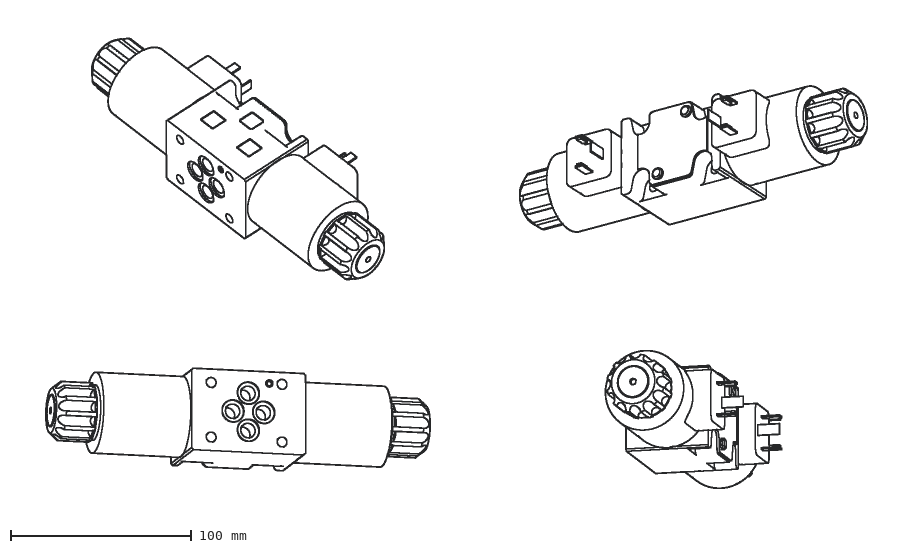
import cadquery as cq
import math


half_length = 107.0
housing_half = 32.5
coil_end = 82.3

front_y = -24.0
back_y = 23.1
housing_height = 46.0
end_edge_chamfer = 1.0

bolt_centre_x = -1.0
bolt_pitch_x = 40.5
bolt_left_z = 15.5
bolt_right_z = 16.3
bolt_hole_dia = 5.5
recess_dia = 11.5
recess_wall_tilt = 12.0
recess_depth = 12.5
recess_rim_radius = 2.5

port_dia = 8.1
seal_dia = 12.5
seal_depth = 1.3
port_depth = 12.9
port_offset_x = 8.8
port_offset_z = 10.5
locating_hole_x = 12.0
locating_hole_z = 16.5
locating_mouth_dia = 3.9
locating_mouth_depth = 0.9
locating_cone_dia = 2.5
locating_cone_depth = 1.0

mark_size = 9.9
mark_depth = 0.6
mark_corner = 1.0
mark_places = [(-15.0, -5.0), (0, 10.3), (14.8, -5.0)]

plate_left = -24.5
plate_right = 21.0
plate_height = 44.5
plate_thickness = 1.3
rivet_places = [(-11.1, 16.7), (7.5, -16.7)]
rivet_head_dia = 6.5
rivet_head_height = 2.0
rivet_edge_chamfer = 0.9

coil_dia = 45.0
connector_size = 29.3
connector_corner = 3.6
connector_y = 32.8
connector_x = 47.8
blade_thickness = 0.9
earth_x = 38.8
earth_width = 6.0
earth_tip_y = front_y + 69.0
phase_width = 4.7
phase_outer_z = 9.5
phase_tip_y = 43.3
phase_rib_y = 37.0
phase_rib_thickness = 2.1
phase_rib_width = 3.0
phase_rib_tip_y = 42.8

knob_radius = 16.5
knob_rear = 84.5
button_height = 0.5
button_dia = 18.0
button_edge_chamfer = 0.5
knob_face = half_length - button_height
knob_chamfer_length = 4.7
knob_chamfer_height = 4.0
collar_radius = 15.5
rim_radius = 16.0
rim_front = 85.5
cone_tip = 87.5
cone_tip_radius = 12.9
flute_count = 12
flute_dia = 6.0
flute_centre_radius = 16.3
pin_hole_dia = 3.5
pin_hole_depth = 2.1


def box(x_range, y_range, z_range):
    """Axis-aligned box between the given limits."""
    lengths = [high - low for low, high in (x_range, y_range, z_range)]
    corner = (x_range[0], y_range[0], z_range[0])
    return cq.Workplane("XY").box(*lengths, centered=False).translate(corner)


def cylinder_y(x, z, diameter, start, end):
    """Cylinder along Y from start to end."""
    solid = cq.Solid.makeCylinder(diameter / 2, end - start, cq.Vector(x, start, z), cq.Vector(0, 1, 0))
    return cq.Workplane(obj=solid)


def cylinder_x(radius, start, end):
    """Cylinder on the X axis from start to end."""
    solid = cq.Solid.makeCylinder(radius, end - start, cq.Vector(start, 0, 0), cq.Vector(1, 0, 0))
    return cq.Workplane(obj=solid)


def bolt_places():
    """(x, z) of the four mounting bolts."""
    left = bolt_centre_x - bolt_pitch_x / 2
    right = bolt_centre_x + bolt_pitch_x / 2
    return [(x, side * z) for x, z in ((left, bolt_left_z), (right, bolt_right_z)) for side in (1, -1)]


def recess_half(centre_z, face_z, tilt_degrees):
    """The +X half of a bolt recess: a round bottom, a side wall leaning outward and a rounded rim."""
    radius = recess_dia / 2
    tilt = math.radians(tilt_degrees)
    wall_foot = (radius * math.cos(tilt), centre_z - radius * math.sin(tilt))
    wall_top_x = wall_foot[0] + (face_z - wall_foot[1]) * math.tan(tilt)
    arc_half = (math.pi / 2 - tilt) / 2
    bottom_mid = (radius * math.sin(arc_half), centre_z - radius * math.cos(arc_half))

    rim_reach = recess_rim_radius * math.tan(arc_half)
    rim_start = (wall_top_x - rim_reach * math.sin(tilt), face_z - rim_reach * math.cos(tilt))
    rim_end = (wall_top_x + rim_reach, face_z)

    return (
        cq.Workplane("XZ", origin=(0, back_y + plate_thickness, 0))
        .moveTo(0, centre_z - radius)
        .threePointArc(bottom_mid, wall_foot)
        .lineTo(*rim_start)
        .tangentArcPoint(rim_end, relative=False)
        .lineTo(rim_end[0], housing_height)
        .lineTo(0, housing_height)
        .close()
        .extrude(recess_depth + plate_thickness)
    )


def bolt_recess(x, z, face_z):
    """Bolt head recess, open at the back and at the top or bottom face; only its +X wall leans."""
    leaning_half = recess_half(abs(z), face_z, recess_wall_tilt)
    upright_half = recess_half(abs(z), face_z, 0).mirror("YZ")
    recess = leaning_half.union(upright_half).translate((x, 0, 0))
    return recess if z > 0 else recess.mirror("XY")


def cut_bolt_recesses(body, height):
    """Open the four bolt recesses in a body of the given height."""
    for x, z in bolt_places():
        body = body.cut(bolt_recess(x, z, height / 2))
    return body


def make_housing():
    half_height = housing_height / 2
    housing = box((-housing_half, housing_half), (front_y, back_y), (-half_height, half_height))
    housing = housing.edges("|Y").chamfer(end_edge_chamfer)
    housing = cut_bolt_recesses(housing, housing_height)
    for x, z in bolt_places():
        housing = housing.cut(cylinder_y(x, z, bolt_hole_dia, front_y, back_y))

    ports = [(-port_offset_x, 0), (port_offset_x, 0), (0, -port_offset_z), (0, port_offset_z)]
    for x, z in ports:
        housing = housing.cut(cylinder_y(x, z, port_dia, front_y, front_y + port_depth))
        housing = housing.cut(cylinder_y(x, z, seal_dia, front_y, front_y + seal_depth))

    cone_start = front_y + locating_mouth_depth
    mouth = cylinder_y(locating_hole_x, locating_hole_z, locating_mouth_dia, front_y, cone_start)
    cone = cq.Solid.makeCone(
        locating_cone_dia / 2,
        0,
        locating_cone_depth,
        cq.Vector(locating_hole_x, cone_start, locating_hole_z),
        cq.Vector(0, 1, 0),
    )
    housing = housing.cut(mouth).cut(cq.Workplane(obj=cone))

    half_mark = mark_size / 2
    for x, y in mark_places:
        mark = box(
            (x - half_mark, x + half_mark),
            (y - half_mark, y + half_mark),
            (half_height - mark_depth, half_height),
        )
        if y > 0:
            mark = mark.edges("|Z").fillet(mark_corner)
        housing = housing.cut(mark)
    return housing


def make_nameplate():
    half_height = plate_height / 2
    plate = box((plate_left, plate_right), (back_y, back_y + plate_thickness), (-half_height, half_height))
    return cut_bolt_recesses(plate, plate_height)


def make_rivet(x, z):
    """Bevelled rivet head standing on the nameplate."""
    head_start = back_y + plate_thickness
    head = cylinder_y(x, z, rivet_head_dia, head_start, head_start + rivet_head_height)
    return head.faces(">Y").chamfer(rivet_edge_chamfer)


def make_coil():
    """Coil of the +X side with its connector and three contact blades."""
    half_size = connector_size / 2
    connector = box(
        (connector_x - half_size, connector_x + half_size),
        (0, connector_y),
        (-half_size, half_size),
    )
    connector = connector.edges("|Y").fillet(connector_corner)
    coil = cylinder_x(coil_dia / 2, housing_half, coil_end).union(connector)

    earth_blade = box(
        (earth_x - blade_thickness / 2, earth_x + blade_thickness / 2),
        (connector_y, earth_tip_y),
        (-earth_width / 2, earth_width / 2),
    )
    coil = coil.union(earth_blade)

    stem = box(
        (connector_x - phase_width / 2, connector_x + phase_width / 2),
        (connector_y, phase_tip_y),
        (phase_outer_z - blade_thickness, phase_outer_z),
    )
    rib = box(
        (connector_x - phase_rib_width / 2, connector_x + phase_rib_width / 2),
        (phase_rib_y, phase_rib_tip_y),
        (phase_outer_z - phase_rib_thickness, phase_outer_z),
    )
    phase_blade = stem.union(rib)
    return coil.union(phase_blade).union(phase_blade.mirror("XY"))


def make_knob():
    """Fluted knob of the +X side with its collar against the coil."""
    grip = cylinder_x(knob_radius, knob_rear, knob_face)
    grip = grip.faces(">X").chamfer(knob_chamfer_length, knob_chamfer_height)
    for i in range(flute_count):
        angle = 2 * math.pi * i / flute_count
        y = flute_centre_radius * math.cos(angle)
        z = flute_centre_radius * math.sin(angle)
        flute = cylinder_x(flute_dia / 2, knob_rear, knob_face).translate((0, y, z))
        grip = grip.cut(flute)

    collar = (
        cq.Workplane("XY")
        .moveTo(coil_end, 0)
        .lineTo(coil_end, collar_radius)
        .lineTo(knob_rear, collar_radius)
        .lineTo(knob_rear, rim_radius)
        .lineTo(rim_front, rim_radius)
        .lineTo(cone_tip, cone_tip_radius)
        .lineTo(cone_tip, 0)
        .close()
        .revolve(360, (0, 0, 0), (1, 0, 0))
    )
    button = cylinder_x(button_dia / 2, knob_rear, half_length).faces(">X").chamfer(button_edge_chamfer)
    pin_hole = cylinder_x(pin_hole_dia / 2, half_length - pin_hole_depth, half_length)
    return grip.union(collar).union(button).cut(pin_hole)


def mirrored_pair(body):
    """The +X body and its mirror image on the -X side."""
    return [body.val(), body.mirror("YZ").val()]


housing = make_housing()
nameplate = make_nameplate()
rivets = [make_rivet(x, z).val() for x, z in rivet_places]
coils = mirrored_pair(make_coil())
knobs = mirrored_pair(make_knob())

result = cq.Compound.makeCompound([housing.val(), nameplate.val(), *rivets, *coils, *knobs])